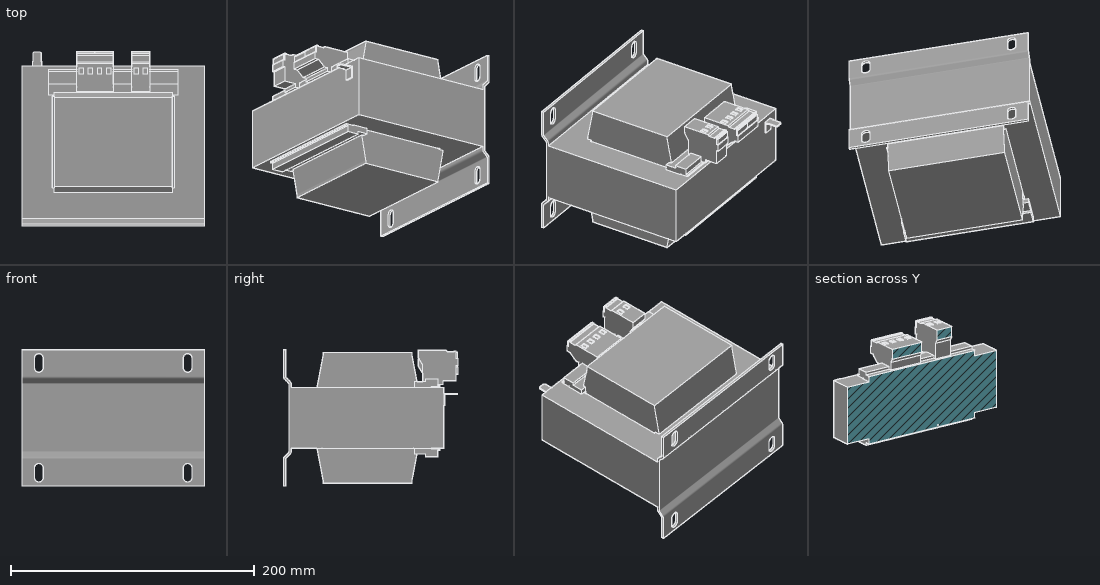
import cadquery as cq
import math


CORE_WIDTH = 150.0
CORE_DEPTH = 125.0
CORE_HEIGHT = 50.0
CORE_TOP = CORE_HEIGHT / 2
YOKE = CORE_DEPTH / 5
WINDOW_WIDTH = 100.0

COIL_WIDTH = 97.0
COIL_TOP = 53.7
COIL_TOP_CLEARANCE = 1.0
COIL_OVERHANG = 4.0
COIL_RIM = 2.4

PLATE_HEIGHT = 112.0
PLATE_THICKNESS = 2.0
FLANGE_OFFSET = 4.5
BEND_START = 27.7
BEND_ANGLE = 45.0
BEND_INNER_RADIUS = 1.0
BEND_OUTER_RADIUS = BEND_INNER_RADIUS + PLATE_THICKNESS
SLOT_WIDTH = 7.0
SLOT_LENGTH = 15.0
SLOT_SPACING_X = 122.0
SLOT_SPACING_Z = 90.0

RAIL_LENGTH = 106.4
RAIL_START = 101.0
RAIL_STEP = 110.0
RAIL_END = 120.2
RAIL_LIP_END = 122.0
RAIL_FOOT_END = 114.8
RAIL_LOW_TOP = 29.7
RAIL_HIGH_TOP = 32.0
RAIL_LIP_TOP = 26.7
RAIL_LIP_GAP = 0.4

BLOCK_WIDTH = 15.0
LOW_BLOCK_STARTS = (-30.0, -15.0)
HIGH_BLOCK_START = 15.0
LOW_BLOCK_TOP = 48.4
HIGH_BLOCK_TOP = LOW_BLOCK_TOP + 7.1
BLOCK_INNER = 104.0
BLOCK_NECK = 107.6
BLOCK_RAMP_TOP = 127.0
BLOCK_RAMP_FOOT = 128.0
BLOCK_RIDGE = 133.4
BLOCK_BACK = 135.2
BLOCK_STRIP = 136.3
STRIP_INSET = 0.2
BLOCK_LEDGE = 136.75
SHELF_DROP = 1.2
RIDGE_DROP = 0.6
STRIP_DROP = 1.6
LEDGE_TOP_DROP = 6.7
LEDGE_BOTTOM_DROP = 12.7
NECK_TOP_DROP = 6.1
NECK_BOTTOM_DROP = 12.1
BLOCK_BASE = 30.3
BLOCK_BASE_CORNER = 127.4
FOOT_END = 124.4
FOOT_BOTTOM = 27.3
POCKET_WIDTH = 3.6
POCKET_LENGTH = 4.7
POCKET_DEPTH = 1.0
POCKET_SPACING = 7.6
POCKET_Y = 120.8

TAB_X = -62.4
TAB_BASE_WIDTH = 7.8
TAB_BLADE_WIDTH = 6.8
TAB_SHOULDER = 128.4
TAB_TIP = 136.4
TAB_TIP_CHAMFER = 0.9
TAB_THICKNESS = 1.0
TAB_TOP = 20.1
TAB_LEG_BOTTOM = 10.2


def box(x_range, y_range, z_range):
    """Axis-aligned box between the given limits."""
    sizes = [high - low for low, high in (x_range, y_range, z_range)]
    corner = (x_range[0], y_range[0], z_range[0])
    return cq.Workplane("XY").box(*sizes, centered=False).translate(corner)


def extrude_along_x(points, x_start, length):
    """Extrude a closed (Y, Z) outline along +X."""
    return cq.Workplane("YZ").workplane(offset=x_start).polyline(points).close().extrude(length)


def make_core():
    core = box(
        (-CORE_WIDTH / 2, CORE_WIDTH / 2),
        (0, CORE_DEPTH),
        (-CORE_TOP, CORE_TOP),
    )
    window = box(
        (-WINDOW_WIDTH / 2, WINDOW_WIDTH / 2),
        (YOKE, CORE_DEPTH - YOKE),
        (-CORE_TOP, CORE_TOP),
    )
    return core.cut(window)


def make_coil():
    inner_y = YOKE
    outer_y = CORE_DEPTH - YOKE
    rim_z = COIL_TOP - COIL_RIM
    upper_half = [
        (inner_y, 0),
        (inner_y, CORE_TOP),
        (inner_y - COIL_OVERHANG, CORE_TOP),
        (inner_y + COIL_TOP_CLEARANCE, rim_z),
        (inner_y + COIL_TOP_CLEARANCE, COIL_TOP),
        (outer_y - COIL_TOP_CLEARANCE, COIL_TOP),
        (outer_y - COIL_TOP_CLEARANCE, rim_z),
        (outer_y + COIL_OVERHANG, CORE_TOP),
        (outer_y, CORE_TOP),
        (outer_y, 0),
    ]
    half = extrude_along_x(upper_half, -COIL_WIDTH / 2, COIL_WIDTH)
    return half.union(half.mirror("XY"))


def make_plate():
    """Bent sheet: upper half drawn in Y-Z, mirrored, then slotted."""
    angle = math.radians(BEND_ANGLE)
    bend_drop = (BEND_INNER_RADIUS + BEND_OUTER_RADIUS) * (1 - math.cos(angle))
    straight_rise = (FLANGE_OFFSET - bend_drop) / math.tan(angle)
    bend_rise = (BEND_INNER_RADIUS + BEND_OUTER_RADIUS) * math.sin(angle)
    bend_end = BEND_START + bend_rise + straight_rise
    first_center = -BEND_OUTER_RADIUS
    second_center = BEND_INNER_RADIUS - FLANGE_OFFSET
    flange_face = -FLANGE_OFFSET - PLATE_THICKNESS

    def first_bend(radius, turn):
        return (first_center + radius * math.cos(turn), BEND_START + radius * math.sin(turn))

    def second_bend(radius, turn):
        return (second_center - radius * math.cos(turn), bend_end - radius * math.sin(turn))

    half = (
        cq.Workplane("YZ")
        .workplane(offset=-CORE_WIDTH / 2)
        .moveTo(0, 0)
        .lineTo(0, BEND_START)
        .threePointArc(first_bend(BEND_OUTER_RADIUS, angle / 2), first_bend(BEND_OUTER_RADIUS, angle))
        .lineTo(*second_bend(BEND_INNER_RADIUS, angle))
        .threePointArc(second_bend(BEND_INNER_RADIUS, angle / 2), second_bend(BEND_INNER_RADIUS, 0))
        .lineTo(-FLANGE_OFFSET, PLATE_HEIGHT / 2)
        .lineTo(flange_face, PLATE_HEIGHT / 2)
        .lineTo(flange_face, bend_end)
        .threePointArc(second_bend(BEND_OUTER_RADIUS, angle / 2), second_bend(BEND_OUTER_RADIUS, angle))
        .lineTo(*first_bend(BEND_INNER_RADIUS, angle))
        .threePointArc(first_bend(BEND_INNER_RADIUS, angle / 2), first_bend(BEND_INNER_RADIUS, 0))
        .lineTo(-PLATE_THICKNESS, 0)
        .close()
        .extrude(CORE_WIDTH)
    )
    slots = (
        cq.Workplane("XZ")
        .workplane(offset=FLANGE_OFFSET)
        .rarray(SLOT_SPACING_X, SLOT_SPACING_Z, 2, 2)
        .slot2D(SLOT_LENGTH, SLOT_WIDTH, 90)
        .extrude(PLATE_THICKNESS)
    )
    return half.union(half.mirror("XY")).cut(slots)


def make_rail():
    """Stepped rail on top of the core, its lip just clear of the core."""
    lip_bottom = CORE_TOP + RAIL_LIP_GAP
    outline = [
        (RAIL_START, CORE_TOP),
        (RAIL_START, RAIL_LOW_TOP),
        (RAIL_STEP, RAIL_LOW_TOP),
        (RAIL_STEP, RAIL_HIGH_TOP),
        (RAIL_END, RAIL_HIGH_TOP),
        (RAIL_END, RAIL_LIP_TOP),
        (RAIL_LIP_END, RAIL_LIP_TOP),
        (RAIL_LIP_END, lip_bottom),
        (RAIL_FOOT_END, lip_bottom),
        (RAIL_FOOT_END, CORE_TOP),
    ]
    return extrude_along_x(outline, -RAIL_LENGTH / 2, RAIL_LENGTH)


def make_block(x_start, top, lower_back):
    """Terminal block; lower_back is the (Y, Z) outline from the ledge down to the base."""
    outline = [
        (BLOCK_INNER, top),
        (BLOCK_RAMP_TOP, top),
        (BLOCK_RAMP_FOOT, top - SHELF_DROP),
        (BLOCK_RIDGE, top - SHELF_DROP),
        (BLOCK_RIDGE, top - RIDGE_DROP),
        (BLOCK_BACK, top - RIDGE_DROP),
        (BLOCK_BACK, top - LEDGE_TOP_DROP),
        (BLOCK_LEDGE, top - LEDGE_TOP_DROP),
        (BLOCK_LEDGE, top - LEDGE_BOTTOM_DROP),
        *lower_back,
        (FOOT_END, BLOCK_BASE),
        (FOOT_END, FOOT_BOTTOM),
        (RAIL_END, FOOT_BOTTOM),
        (RAIL_END, RAIL_LOW_TOP),
        (BLOCK_NECK, RAIL_LOW_TOP),
        (BLOCK_NECK, top - NECK_BOTTOM_DROP),
        (BLOCK_INNER, top - NECK_TOP_DROP),
    ]
    pockets = (
        cq.Workplane("XY")
        .workplane(offset=top - POCKET_DEPTH)
        .center(x_start + BLOCK_WIDTH / 2, POCKET_Y)
        .rarray(POCKET_SPACING, 1, 2, 1)
        .rect(POCKET_WIDTH, POCKET_LENGTH)
        .extrude(POCKET_DEPTH)
    )
    strip = box(
        (x_start + STRIP_INSET, x_start + BLOCK_WIDTH - STRIP_INSET),
        (BLOCK_BACK, BLOCK_STRIP),
        (top - LEDGE_TOP_DROP, top - STRIP_DROP),
    )
    return extrude_along_x(outline, x_start, BLOCK_WIDTH).cut(pockets).union(strip)


def make_low_block(x_start):
    sloped_back = [
        (BLOCK_RIDGE, LOW_BLOCK_TOP - LEDGE_BOTTOM_DROP),
        (BLOCK_BASE_CORNER, BLOCK_BASE),
    ]
    return make_block(x_start, LOW_BLOCK_TOP, sloped_back)


def make_high_block(x_start):
    upright_back = [
        (BLOCK_BACK, HIGH_BLOCK_TOP - LEDGE_BOTTOM_DROP),
        (BLOCK_BACK, BLOCK_BASE),
    ]
    return make_block(x_start, HIGH_BLOCK_TOP, upright_back)


def make_earth_tab():
    base_half = TAB_BASE_WIDTH / 2
    base_x = (TAB_X - base_half, TAB_X + base_half)
    blade_z = (TAB_TOP - TAB_THICKNESS, TAB_TOP)
    blade_half = TAB_BLADE_WIDTH / 2
    blade = (
        box((TAB_X - blade_half, TAB_X + blade_half), (CORE_DEPTH, TAB_TIP), blade_z)
        .faces(">Y")
        .edges("|Z")
        .chamfer(TAB_TIP_CHAMFER)
    )
    shoulder = box(base_x, (CORE_DEPTH, TAB_SHOULDER), blade_z)
    leg = box(base_x, (CORE_DEPTH, CORE_DEPTH + TAB_THICKNESS), (TAB_LEG_BOTTOM, TAB_TOP))
    return blade.union(shoulder).union(leg)


rail = make_rail()
result = make_core().union(make_coil()).union(make_plate())
result = result.union(rail).union(rail.mirror("XY"))
for block_start in LOW_BLOCK_STARTS:
    result = result.union(make_low_block(block_start))
result = result.union(make_high_block(HIGH_BLOCK_START))
result = result.union(make_earth_tab())